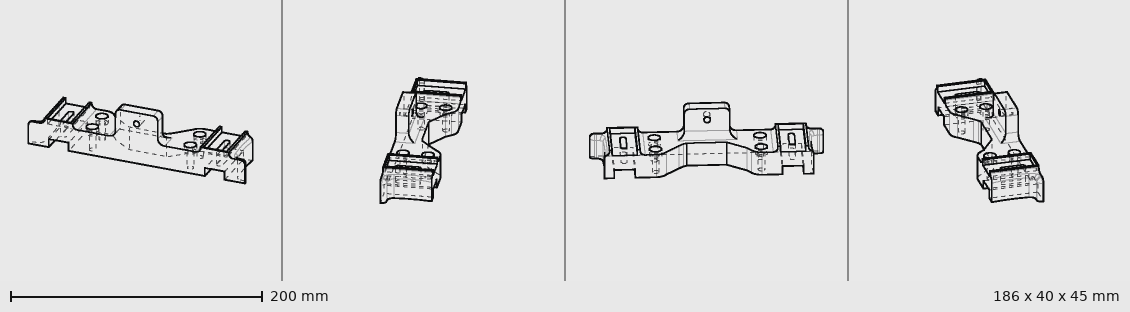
import cadquery as cq
import math

length = 186.0
depth = 40.0
height = 45.0
deck_height = 20.0
half_length = length / 2

pad_center = 67.0
pad_width = 24.4
pad_height = 25.0
pad_fillet = 3.9
tray_width = 20.0
tray_front_wall = 1.1
tray_floor = deck_height
pad_inner = pad_center - pad_width / 2
pad_outer = pad_center + pad_width / 2

slot_width = 4.8
slot_length = 20.5
slot_center_y = 18.0
notch_width = 16.7
notch_height = 7.3

tab_thickness = 4.6
tab_round = 3.5
tab_fillet = 5.0
wall_back = 83.3
wall_waist = 82.2
waist_y = 22.3

plate_width = 36.3
plate_thickness = 10.5
plate_round = 4.0
plate_foot = 5.5
plate_hole_diameter = 5.0
plate_hole_height = 35.2

screw_x = 42.0
screw_ys = (9.9, 30.0)
screw_diameter = 5.2
counterbore_diameter = 9.7
counterbore_depth = 5.5

recess_y = 20.8
shoulder_radius = 10.0
shoulder_angle = math.radians(35)
left_flank = ((-30.5, 31.6), (-14.9, recess_y))
right_flank = ((23.2, 25.5), (19.7, 22.3), (16.7, recess_y))

tolerance = 0.1


def box(x_min, x_max, y_min, y_max, z_min, z_max):
    size = (x_max - x_min, y_max - y_min, z_max - z_min)
    return cq.Workplane("XY").box(*size, centered=False).translate((x_min, y_min, z_min))


def quarter_middle(center_x, center_z, radius, sign_x, sign_z):
    """Middle point of a quarter arc lying in the given quadrant of its centre."""
    reach = radius * math.sqrt(0.5)
    return (center_x + sign_x * reach, center_z + sign_z * reach)


def right_half_deck():
    """Deck and raised pad for X >= 0, extruded over the full depth."""
    arc_z = deck_height + pad_fillet
    inner_mid = quarter_middle(pad_inner - pad_fillet, arc_z, pad_fillet, 1, -1)
    outer_mid = quarter_middle(pad_outer + pad_fillet, arc_z, pad_fillet, -1, -1)
    return (
        cq.Workplane("XZ")
        .moveTo(0, 0)
        .lineTo(half_length, 0)
        .lineTo(half_length, deck_height)
        .lineTo(pad_outer + pad_fillet, deck_height)
        .threePointArc(outer_mid, (pad_outer, arc_z))
        .lineTo(pad_outer, pad_height)
        .lineTo(pad_inner, pad_height)
        .lineTo(pad_inner, arc_z)
        .threePointArc(inner_mid, (pad_inner - pad_fillet, deck_height))
        .lineTo(0, deck_height)
        .close()
        .extrude(-depth)
    )


def right_end_plan():
    """Plan of the X >= 0 half: front tab and the hollow end wall behind it."""
    plan = (
        cq.Workplane("XY")
        .lineTo(half_length, 0)
        .lineTo(half_length, tab_thickness)
        .lineTo(wall_back, tab_thickness)
        .threePointArc((wall_waist, waist_y), (wall_back, depth))
        .lineTo(0, depth)
        .close()
        .extrude(height)
    )
    tab_corner = cq.selectors.NearestToPointSelector((wall_back, tab_thickness, height / 2))
    return plan.edges("|Z").edges(tab_corner).fillet(tab_fillet)


def round_end(half):
    """Round the tab corner and the top edges that run from the tab along the end wall."""
    def picked(edge):
        center = edge.Center()
        if abs(center.x - half_length) < tolerance:
            on_corner = abs(center.y - tab_thickness) < tolerance
            on_top = abs(center.z - deck_height) < tolerance
            return on_corner or on_top
        runs_along_pad = edge.geomType() == "LINE" and abs(edge.tangentAt(0).y) > 1.9 - tolerance
        inside = tolerance < center.y < depth - tolerance
        on_deck = abs(center.z - deck_height) < tolerance
        return center.x > pad_outer and inside and on_deck and not runs_along_pad

    rounded_edges = [edge for edge in half.edges().vals() if picked(edge)]
    return half.newObject(rounded_edges).fillet(tab_round)


def pad_cuts():
    """Tray open to the back, slot through its floor and notch under it, for X > 0."""
    tray = box(
        pad_center - tray_width / 2, pad_center + tray_width / 2,
        tray_front_wall, depth, tray_floor, height,
    )
    slot = (
        cq.Workplane("XY")
        .center(pad_center, slot_center_y)
        .slot2D(slot_length, slot_width, 90)
        .extrude(height)
    )
    notch = box(pad_center - notch_width / 2, pad_center + notch_width / 2, 0, depth, 0, notch_height)
    return tray.union(slot).union(notch)


def upright_plate():
    """Front plate with rounded top corners and a mitred concave foot on three sides."""
    plate = (
        box(-plate_width / 2, plate_width / 2, 0, plate_thickness, deck_height, height)
        .edges("|Y and >Z")
        .fillet(plate_round)
    )
    foot_half = plate_width / 2 + plate_foot
    foot = box(-foot_half, foot_half, 0, plate_thickness + plate_foot, deck_height, deck_height + plate_foot)
    arc_z = deck_height + plate_foot
    for side in (-1, 1):
        groove = cq.Workplane("XZ").center(side * foot_half, arc_z).circle(plate_foot).extrude(-depth)
        foot = foot.cut(groove)
    back_groove = (
        cq.Workplane("YZ")
        .center(plate_thickness + plate_foot, arc_z)
        .circle(plate_foot)
        .extrude(foot_half, both=True)
    )
    return plate.union(foot.cut(back_groove))


def plate_hole():
    """Cross hole through the upright plate."""
    return (
        cq.Workplane("XZ")
        .center(0, plate_hole_height)
        .circle(plate_hole_diameter / 2)
        .extrude(-depth)
    )


def screw_holes():
    """Four through holes with counterbores sunk from the deck."""
    places = [(side * screw_x, y) for side in (-1, 1) for y in screw_ys]
    bore = cq.Workplane("XY").pushPoints(places).circle(screw_diameter / 2).extrude(deck_height)
    head = (
        cq.Workplane("XY", origin=(0, 0, deck_height - counterbore_depth))
        .pushPoints(places)
        .circle(counterbore_diameter / 2)
        .extrude(counterbore_depth)
    )
    return bore.union(head)


def back_recess():
    """Recess between shoulders that run round the rear screw holes."""
    shoulder_y = screw_ys[1]

    def on_shoulder(side, angle):
        x = side * (screw_x - shoulder_radius * math.cos(angle))
        return (x, shoulder_y + shoulder_radius * math.sin(angle))

    back_angle = math.pi / 2
    middle_angle = (shoulder_angle + back_angle) / 2
    outline = (
        cq.Workplane("XY")
        .moveTo(*on_shoulder(-1, back_angle))
        .threePointArc(on_shoulder(-1, middle_angle), on_shoulder(-1, shoulder_angle))
    )
    for point in left_flank + right_flank[::-1]:
        outline = outline.lineTo(*point)
    return (
        outline
        .lineTo(*on_shoulder(1, shoulder_angle))
        .threePointArc(on_shoulder(1, middle_angle), on_shoulder(1, back_angle))
        .close()
        .extrude(height)
    )


half = round_end(right_half_deck().intersect(right_end_plan())).cut(pad_cuts())
body = half.union(half.mirror("YZ")).union(upright_plate())
result = body.cut(plate_hole()).cut(screw_holes()).cut(back_recess())